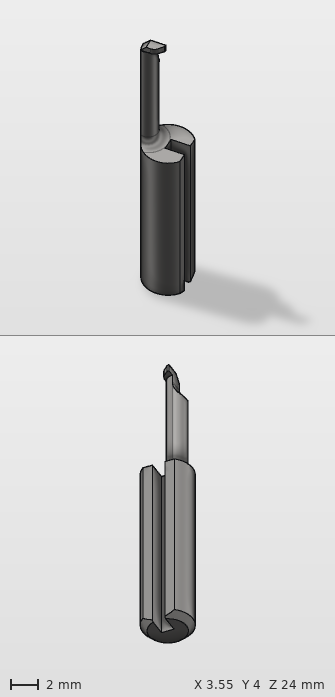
import cadquery as cq
import math

shank_radius = 2.0
shank_length = 14.0
shank_chamfer = 0.5
flat_x = 1.55
slot_width = 1.0
slot_floor_x = 0.0

overall_length = 24.0
neck_radius = 0.8
neck_center_x = -1.6
flare_radius = 0.8

head_thickness = 0.55
head_bottom_z = overall_length - head_thickness
head_back_chamfer = 0.6
head_width = 0.75
top_clearance_degrees = 5
tip_x = -0.18
tip_land_depth = 0.16
tip_land_clearance = 0.04
head_arc_radius = 0.7
head_arc_center_x = -1.06
head_arc_sweep = math.radians(45)

relief_start_z = 21.5
relief_angle = math.radians(45)
relief_radius = 1.3

stock = 2 * shank_radius


def make_flared_neck():
    """Round neck standing on an oversized shoulder, with a concave flare between them."""
    shoulder = cq.Workplane("XY").rect(2 * stock, 2 * stock).extrude(shank_length)
    neck = cq.Workplane("XY").center(neck_center_x, 0).circle(neck_radius).extrude(head_bottom_z)
    neck_foot = cq.selectors.BoxSelector(
        (-stock / 2 - neck_radius, -neck_radius, shank_length - flare_radius),
        (stock / 2, neck_radius, shank_length + flare_radius),
    )
    return shoulder.union(neck).edges(neck_foot).fillet(flare_radius)


def make_chip_relief():
    """Material removed from the +Y side of the neck so that the rake face is clear."""
    arc_end_y = relief_radius * (1 - math.cos(relief_angle))
    arc_end_z = relief_start_z + (neck_radius - arc_end_y) * math.tan(relief_angle)
    arc_top_z = arc_end_z + relief_radius * math.sin(relief_angle)
    half_angle = relief_angle / 2
    arc_middle = (
        relief_radius * (1 - math.cos(half_angle)),
        arc_top_z - relief_radius * math.sin(half_angle),
    )
    return (
        cq.Workplane("YZ")
        .moveTo(neck_radius, relief_start_z)
        .lineTo(arc_end_y, arc_end_z)
        .threePointArc(arc_middle, (0, arc_top_z))
        .lineTo(0, overall_length)
        .lineTo(stock, overall_length)
        .lineTo(stock, relief_start_z)
        .close()
        .extrude(stock, both=True)
    )


def make_head():
    """Flat cutting head that overhangs the neck toward +X."""
    arc_center_y = head_arc_radius - head_width

    def arc_point(angle):
        return (
            head_arc_center_x + head_arc_radius * math.sin(angle),
            arc_center_y - head_arc_radius * math.cos(angle),
        )

    return (
        cq.Workplane("XY", origin=(0, 0, head_bottom_z))
        .moveTo(-stock, 0)
        .lineTo(tip_x, 0)
        .lineTo(tip_x - tip_land_clearance, -tip_land_depth)
        .lineTo(*arc_point(head_arc_sweep))
        .threePointArc(arc_point(head_arc_sweep / 2), arc_point(0))
        .lineTo(-stock, -head_width)
        .close()
        .extrude(head_thickness)
    )


def make_top_relief():
    """Material above the sloping top of the head and its -X chamfer, hinged on the rake edge."""
    chamfer_top_x = head_back_chamfer - shank_radius
    chamfer_foot_z = overall_length - (chamfer_top_x + stock)
    relief = (
        cq.Workplane("XZ")
        .moveTo(-stock, chamfer_foot_z)
        .lineTo(chamfer_top_x, overall_length)
        .lineTo(stock, overall_length)
        .lineTo(stock, overall_length + stock)
        .lineTo(-stock, overall_length + stock)
        .close()
        .extrude(stock)
    )
    return relief.rotate((0, 0, overall_length), (1, 0, overall_length), top_clearance_degrees)


def make_envelope():
    """Round bar, chamfered at the bottom and flattened on its +X side."""
    bar = cq.Workplane("XY").circle(shank_radius).extrude(overall_length)
    bar = bar.faces("<Z").chamfer(shank_chamfer)
    beyond_flat = cq.Workplane("XY").box(
        stock, 2 * stock, overall_length, centered=(False, True, False)
    )
    return bar.cut(beyond_flat.translate((flat_x, 0, 0)))


def make_slot():
    """Slot that runs the whole length of the shank and opens through the flat."""
    slot = cq.Workplane("XY").box(stock, slot_width, shank_length, centered=(False, True, False))
    return slot.translate((slot_floor_x, 0, 0))


body = make_flared_neck().cut(make_chip_relief()).union(make_head())
result = body.cut(make_top_relief()).intersect(make_envelope()).cut(make_slot())